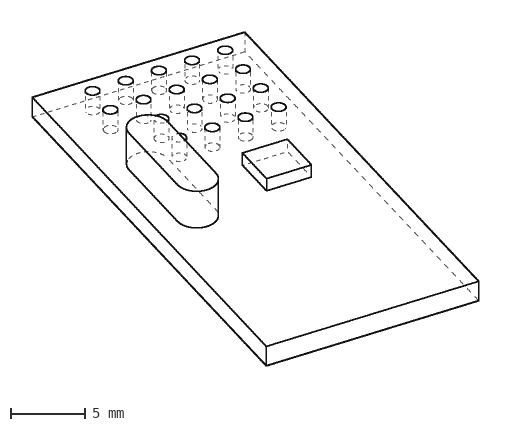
import cadquery as cq

board_length = 33.45
board_width = 16.3
board_thickness = 1.6
total_height = 4.6

hole_diameter = 1.0
hole_pitch = 2.55
first_hole_x = 1.27
first_hole_from_back = 2.17
holes_per_row = [4, 4, 4, 4, 2]

chip_side = 3.45
chip_height = 1.0
chip_center_x = 15.52
chip_center_y = 10.45

crystal_length = 9.87
crystal_width = 2.95
crystal_height = total_height - board_thickness
crystal_center_x = 14.1
crystal_center_y = 3.18


def make_board():
    return cq.Workplane("XY").box(board_length, board_width, board_thickness, centered=False)


def hole_centers():
    first_hole_y = board_width - first_hole_from_back
    return [
        (first_hole_x + column * hole_pitch, first_hole_y - row * hole_pitch)
        for row, count in enumerate(holes_per_row)
        for column in range(count)
    ]


def make_pin_holes():
    return (
        cq.Workplane("XY")
        .pushPoints(hole_centers())
        .circle(hole_diameter / 2)
        .extrude(board_thickness)
    )


def make_chip():
    return (
        cq.Workplane("XY", origin=(chip_center_x, chip_center_y, board_thickness))
        .rect(chip_side, chip_side)
        .extrude(chip_height)
    )


def make_crystal():
    return (
        cq.Workplane("XY", origin=(crystal_center_x, crystal_center_y, board_thickness))
        .slot2D(crystal_length, crystal_width)
        .extrude(crystal_height)
    )


result = make_board().cut(make_pin_holes()).union(make_chip()).union(make_crystal())